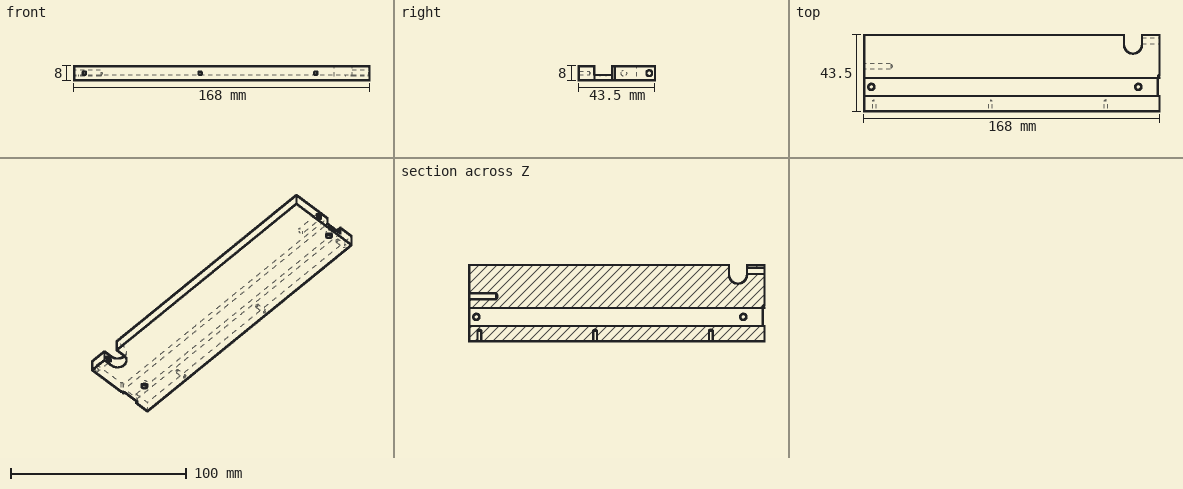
import cadquery as cq
import math

length = 168.0
width = 43.5
height = 8.0
mid_height = height / 2

rail_width = 8.9
channel_width = 10.0
floor_thickness = 3.0
channel_back = rail_width + channel_width

end_relief_depth = 1.0
corner_relief_radius = 0.7
corner_relief_offset = 1.0

notch_width = 10.0
notch_depth = 10.5
notch_x = length - 15.1

floor_hole_diameter = 3.4
floor_hole_xs = (4.0, length - 12.1)
rail_hole_diameter = 2.0
rail_hole_depth = 6.0
rail_hole_first_x = 5.7
rail_hole_pitch = 65.8
rail_hole_count = 3
end_hole_diameter = 3.4
end_hole_depth = 15.1
end_hole_y = width - 17.8
notch_hole_y = width - 3.4
drill_point_angle = 118.0


def box_between(low, high):
    size = [end - start for start, end in zip(low, high)]
    return cq.Workplane("XY").box(*size, centered=False).translate(low)


def drilled_hole(point, direction, diameter, depth):
    """Blind hole of the given straight depth, ending in a drill point."""
    radius = diameter / 2
    tip = radius / math.tan(math.radians(drill_point_angle / 2))
    start = cq.Vector(*point)
    axis = cq.Vector(*direction)
    bore = cq.Solid.makeCylinder(radius, depth, start, axis)
    cone = cq.Solid.makeCone(radius, 0, tip, start + axis * depth, axis)
    return cq.Workplane("XY").newObject([bore.fuse(cone)])


def vertical_hole(x, y, radius):
    return cq.Workplane("XY").center(x, y).circle(radius).extrude(height)


plate = box_between((0, 0, 0), (length, width, height))

plate = plate.cut(box_between((0, rail_width, floor_thickness), (length, channel_back, height)))
plate = plate.cut(box_between((length - end_relief_depth, rail_width, 0), (length, channel_back, height)))
plate = plate.cut(vertical_hole(length, channel_back + corner_relief_offset, corner_relief_radius))

notch_radius = notch_width / 2
notch_center_y = width - notch_depth + notch_radius
notch_sides = box_between(
    (notch_x - notch_radius, notch_center_y, 0),
    (notch_x + notch_radius, width, height),
)
plate = plate.cut(notch_sides)
plate = plate.cut(vertical_hole(notch_x, notch_center_y, notch_radius))

for hole_x in floor_hole_xs:
    plate = plate.cut(vertical_hole(hole_x, rail_width + channel_width / 2, floor_hole_diameter / 2))

for index in range(rail_hole_count):
    hole_x = rail_hole_first_x + index * rail_hole_pitch
    plate = plate.cut(
        drilled_hole((hole_x, 0, mid_height), (0, 1, 0), rail_hole_diameter, rail_hole_depth)
    )

plate = plate.cut(
    drilled_hole((0, end_hole_y, mid_height), (1, 0, 0), end_hole_diameter, end_hole_depth)
)

cross_hole = (
    cq.Workplane("YZ", origin=(notch_x, 0, 0))
    .center(notch_hole_y, mid_height)
    .circle(end_hole_diameter / 2)
    .extrude(length - notch_x)
)
result = plate.cut(cross_hole)